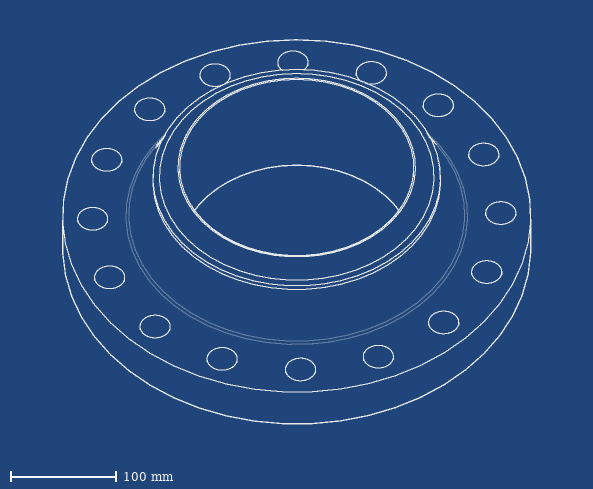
import cadquery as cq
import math

flange_diameter = 444.5
flange_thickness = 46.1
raised_face_diameter = 355.6
raised_face_height = 7.92
overall_height = 123.77

bolt_circle_diameter = 387.4
bolt_hole_diameter = 28.6
bolt_hole_count = 16

bore_diameter = 222.2
hub_base_diameter = 320.5
hub_top_diameter = 273.0
hub_collar_height = 5.2
hub_root_radius = 3.0

weld_land_width = 1.6
steep_bevel_width = 17.6
steep_bevel_angle = 37.5
shallow_bevel_angle = 10.0

flange_bottom_z = raised_face_height
flange_top_z = flange_bottom_z + flange_thickness

bore_radius = bore_diameter / 2
hub_top_radius = hub_top_diameter / 2
hub_base_radius = hub_base_diameter / 2
land_radius = bore_radius + weld_land_width
knee_radius = land_radius + steep_bevel_width

match_tolerance = 0.001

knee_z = overall_height - steep_bevel_width * math.tan(math.radians(steep_bevel_angle))
shallow_bevel_width = hub_top_radius - knee_radius
collar_top_z = knee_z - shallow_bevel_width * math.tan(math.radians(shallow_bevel_angle))
collar_bottom_z = collar_top_z - hub_collar_height


def make_body():
    """Revolve the flange, hub and bore section about the Z axis."""
    section = [
        (bore_radius, 0),
        (raised_face_diameter / 2, 0),
        (raised_face_diameter / 2, flange_bottom_z),
        (flange_diameter / 2, flange_bottom_z),
        (flange_diameter / 2, flange_top_z),
        (hub_base_radius, flange_top_z),
        (hub_top_radius, collar_bottom_z),
        (hub_top_radius, collar_top_z),
        (knee_radius, knee_z),
        (land_radius, overall_height),
        (bore_radius, overall_height),
    ]
    body = cq.Workplane("XZ").polyline(section).close().revolve(360, (0, 0, 0), (0, 1, 0))
    hub_root = body.edges("%CIRCLE").filter(
        lambda edge: math.isclose(edge.radius(), hub_base_radius, abs_tol=match_tolerance)
    )
    return hub_root.fillet(hub_root_radius)


def make_bolt_holes():
    """Cylinders that pass through the flange disc, evenly spaced on the bolt circle."""
    return (
        cq.Workplane("XY")
        .workplane(offset=flange_bottom_z)
        .polarArray(bolt_circle_diameter / 2, 0, 360, bolt_hole_count)
        .circle(bolt_hole_diameter / 2)
        .extrude(flange_thickness)
    )


result = make_body().cut(make_bolt_holes())